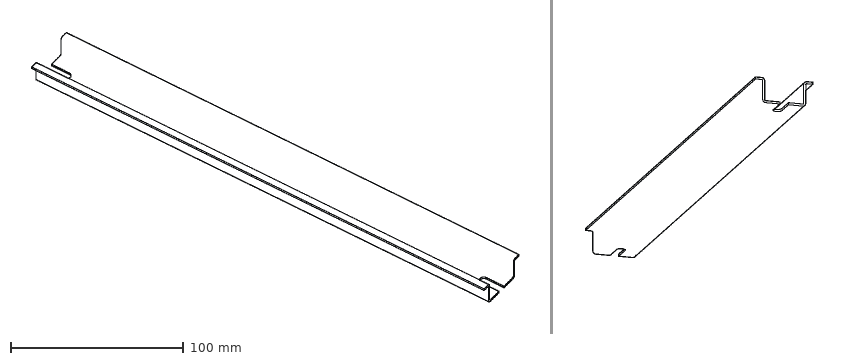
import cadquery as cq

length = 321.0
overall_width = 35.0
height = 15.0

thickness = 1.3
channel_width = 26.3
inner_bend_radius = 0.5
outer_bend_radius = inner_bend_radius + thickness

slot_width = 5.0
slot_depth = 15.0

half_length = length / 2
half_channel = channel_width / 2
half_cavity = half_channel - thickness


def box(width, bottom, top):
    """Full-length bar, centred on Y, between two heights."""
    return cq.Workplane("XY").box(length, width, top - bottom).translate((0, 0, (bottom + top) / 2))


def round_edges(body, y, z, radius):
    """Round the mirrored pair of lengthwise edges at +y and -y."""
    for side in (-1, 1):
        edge = cq.selectors.NearestToPointSelector((0, side * y, z))
        body = body.edges("|X").edges(edge).fillet(radius)
    return body


def rail():
    """Bent sheet: floor, two walls and two outward flanges."""
    flange_bottom = height - thickness
    body = box(channel_width, 0, height).union(box(overall_width, flange_bottom, height))
    body = body.cut(box(2 * half_cavity, thickness, height))
    body = round_edges(body, half_channel, 0, outer_bend_radius)
    body = round_edges(body, half_cavity, thickness, inner_bend_radius)
    body = round_edges(body, half_cavity, height, outer_bend_radius)
    return round_edges(body, half_channel, flange_bottom, inner_bend_radius)


def end_slot(end):
    """Cutter for one round-ended slot that is open at the rail end."""
    return (
        cq.Workplane("XY")
        .center(end * half_length, 0)
        .slot2D(2 * slot_depth, slot_width)
        .extrude(height)
    )


result = rail()
for end in (-1, 1):
    result = result.cut(end_slot(end))